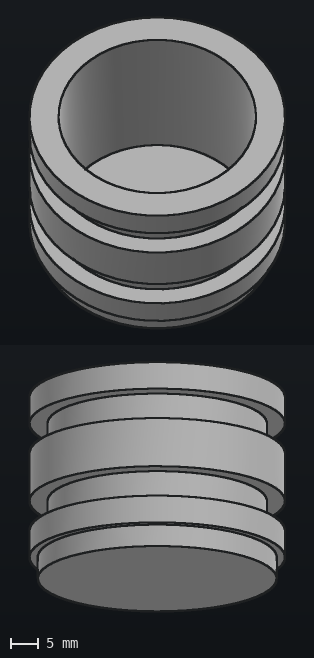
import cadquery as cq

land_diameter = 46.0
groove_diameter = 39.5
spigot_diameter = 43.0
bore_diameter = 35.5

spigot_height = 4.0
end_land_height = 5.0
middle_land_height = 9.0
groove_height = 5.5
floor_thickness = spigot_height

sections = [
    (spigot_diameter, spigot_height),
    (land_diameter, end_land_height),
    (groove_diameter, groove_height),
    (land_diameter, middle_land_height),
    (groove_diameter, groove_height),
    (land_diameter, end_land_height),
]
total_height = sum(height for _, height in sections)


def cylinder(diameter, height, base_z):
    """Cylinder on the Z axis, standing on the plane at base_z."""
    return cq.Workplane("XY", origin=(0, 0, base_z)).circle(diameter / 2).extrude(height)


def stepped_body():
    """Solid piston body: spigot, lands and ring grooves stacked along Z."""
    body = cq.Workplane("XY")
    base_z = 0.0
    for diameter, height in sections:
        body = body.union(cylinder(diameter, height, base_z))
        base_z += height
    return body


def blind_bore():
    """Cup cavity, open at the top and closed by the floor."""
    return cylinder(bore_diameter, total_height - floor_thickness, floor_thickness)


result = stepped_body().cut(blind_bore())